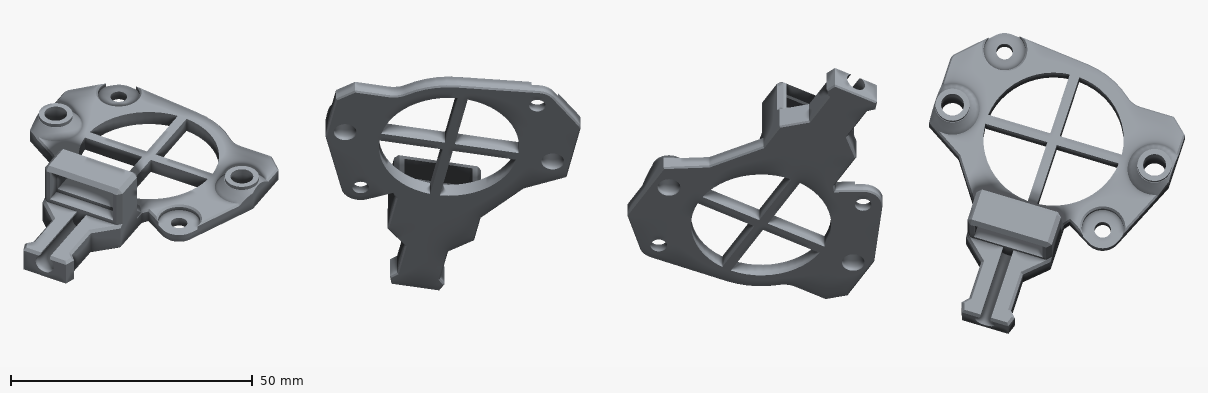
import cadquery as cq
import math

overall_width = 51.3
overall_length = 62.0
half_width = overall_width / 2
bottom_chamfer = 0.3

plate_top = 3.15
plate_chamfer = 0.4
shroud_radius = 17.9
shroud_fillet = 5.0
shoulder_y = 12.2
shoulder_x = 22.25
right_upper_y = 9.05
right_lower_y = -2.2
left_lower_y = -4.3
left_corner_radius = 1.75
left_waist = (-17.6, -9.35)
right_notch = (8.55, -16.0)
notch_end_y = -17.2
waist_end_y = -19.65

fan_radius = 14.5
spoke_width = 2.05

ear_radius = 4.05
upper_ear = (-15.5, 15.55)
lower_ear = (15.5, -15.45)
screw_diameter = 3.4
seat_radius = 4.35
seat_floor = 2.0
seat_chamfer = 0.4

post_x = 21.9
post_bore_diameter = 4.7
rim_diameter = 7.0
rim_bottom = 5.15
rim_top = 5.95
cone_top_radius = 3.6
cone_base_radius = cone_top_radius + rim_bottom - plate_top

housing_center_x = -1.5
housing_width = 18.3
housing_rear = -18.3
housing_front = -26.4
housing_top = 14.65
housing_chamfer = 0.9
window_center_z = 10.25
window_width = 14.25
window_height = 5.35
recess_width = 14.8
recess_height = 7.1
recess_depth = 2.8
ramp_foot_y = -15.55
ramp_edge_chamfer = 1.3

tongue_top = 5.75
tongue_chamfer = 0.55
tongue_half_width = 4.5
barb_half_width = 5.75
tip_half_width = 5.0
flare_end_y = -30.75
barb_start_y = -38.95
barb_peak_y = -40.3
tip_y = upper_ear[1] + ear_radius - overall_length

channel_diameter = 4.2
channel_center_z = 3.6
slot_width = 2.25

housing_left = housing_center_x - housing_width / 2
housing_right = housing_center_x + housing_width / 2


def on_circle(center, radius, angle):
    """Point on a circle at an angle in radians."""
    return (center[0] + radius * math.cos(angle), center[1] + radius * math.sin(angle))


def tangent_angle(point, center, radius, side):
    """Angle on a circle where the line from an outside point touches it; side is +1 or -1."""
    dx, dy = point[0] - center[0], point[1] - center[1]
    return math.atan2(dy, dx) + side * math.acos(radius / math.hypot(dx, dy))


def cylinder(center, radius, bottom, top):
    """Upright cylinder between two heights."""
    return cq.Workplane("XY", origin=(center[0], center[1], bottom)).circle(radius).extrude(top - bottom)


def plate_blank(height):
    """Plate outline raised to a height, without its edge chamfers."""
    flank_angle = math.radians(135)
    corner_turn = math.radians(45)
    ear_distance = math.hypot(*upper_ear)
    ear_direction = math.atan2(upper_ear[1], upper_ear[0])
    brow_angle = ear_direction - math.acos((shroud_radius - ear_radius) / ear_distance)
    flank_touch = on_circle(upper_ear, ear_radius, flank_angle)
    left_upper_y = flank_touch[1] - (flank_touch[0] + half_width)
    corner_trim = left_corner_radius * math.tan(corner_turn / 2)
    corner_center = (-half_width + left_corner_radius, left_upper_y - corner_trim)

    blend_y = shoulder_y + shroud_fillet
    blend_x = math.sqrt((shroud_radius + shroud_fillet) ** 2 - blend_y**2)
    blend_center = (blend_x, blend_y)
    blend_angle = math.atan2(blend_y, blend_x)
    blend_start_angle = blend_angle + math.pi
    blend_end_angle = 1.5 * math.pi
    blend_mid_angle = (blend_start_angle + blend_end_angle) / 2

    right_lower = (half_width, right_lower_y)
    ear_start = tangent_angle(right_lower, lower_ear, ear_radius, -1)
    ear_end = tangent_angle(right_notch, lower_ear, ear_radius, 1)

    outline = (
        cq.Workplane("XY")
        .moveTo(-half_width, left_lower_y)
        .lineTo(-half_width, corner_center[1])
        .threePointArc(
            on_circle(corner_center, left_corner_radius, math.pi - corner_turn / 2),
            on_circle(corner_center, left_corner_radius, flank_angle),
        )
        .lineTo(*flank_touch)
        .threePointArc(
            on_circle(upper_ear, ear_radius, (flank_angle + brow_angle) / 2),
            on_circle(upper_ear, ear_radius, brow_angle),
        )
        .lineTo(*on_circle((0, 0), shroud_radius, brow_angle))
        .threePointArc(
            on_circle((0, 0), shroud_radius, (brow_angle + blend_angle) / 2),
            on_circle((0, 0), shroud_radius, blend_angle),
        )
        .threePointArc(on_circle(blend_center, shroud_fillet, blend_mid_angle), (blend_x, shoulder_y))
        .lineTo(shoulder_x, shoulder_y)
        .lineTo(half_width, right_upper_y)
        .lineTo(*right_lower)
        .lineTo(*on_circle(lower_ear, ear_radius, ear_start))
        .threePointArc(
            on_circle(lower_ear, ear_radius, (ear_start + ear_end) / 2),
            on_circle(lower_ear, ear_radius, ear_end),
        )
        .lineTo(*right_notch)
        .lineTo(housing_right, notch_end_y)
        .lineTo(housing_right, waist_end_y)
        .lineTo(housing_left, waist_end_y)
        .lineTo(*left_waist)
        .close()
    )
    return outline.extrude(height)


def housing_and_tongue():
    """Connector housing with its rear ramp and the tongue in front of it."""
    right_side = [
        (housing_width / 2, housing_front),
        (tongue_half_width, flare_end_y),
        (tongue_half_width, barb_start_y),
        (barb_half_width, barb_peak_y),
        (tip_half_width, tip_y),
    ]
    left_side = [(-x, y) for x, y in reversed(right_side)]
    tongue = (
        cq.Workplane("XY", origin=(housing_center_x, 0, 0))
        .moveTo(housing_width / 2, housing_rear)
        .polyline(right_side + left_side + [(-housing_width / 2, housing_rear)], includeCurrent=True)
        .close()
        .extrude(tongue_top)
    )
    tongue = tongue.edges(">Y and |Z").chamfer(housing_chamfer)
    margin = 0.05
    ahead_of_housing = cq.selectors.BoxSelector(
        (-half_width, tip_y - margin, tongue_top - margin),
        (half_width, housing_front - margin, tongue_top + margin),
    )
    tongue = tongue.edges(ahead_of_housing).chamfer(tongue_chamfer)

    housing = (
        cq.Workplane("XY", origin=(housing_center_x, (housing_rear + housing_front) / 2, tongue_top))
        .rect(housing_width, housing_rear - housing_front)
        .extrude(housing_top - tongue_top)
        .edges("|Z or >Z")
        .chamfer(housing_chamfer)
    )

    ramp_run = ramp_foot_y - housing_rear + housing_chamfer
    ramp = (
        cq.Workplane("YZ", origin=(housing_left, 0, 0))
        .moveTo(ramp_foot_y, plate_top)
        .line(-ramp_run, ramp_run)
        .line(0, -ramp_run)
        .close()
        .extrude(housing_width)
    )
    ramp = ramp.faces(">(0, 1, 1)").edges("not |X").chamfer(ramp_edge_chamfer)
    return tongue.union(housing).union(ramp)


def post(x):
    """Cone trimmed to the plate outline, carrying a flat rim."""
    foot_z = plate_top - plate_chamfer
    cone = (
        cq.Workplane("XZ")
        .moveTo(0, foot_z)
        .lineTo(cone_base_radius + plate_chamfer, foot_z)
        .lineTo(cone_top_radius, rim_bottom)
        .lineTo(0, rim_bottom)
        .close()
        .revolve(360, (0, 0), (0, 1))
        .translate((x, 0, 0))
    )
    cone = cone.intersect(plate_blank(rim_bottom))
    return cone.union(cylinder((x, 0), rim_diameter / 2, rim_bottom, rim_top))


def fan_opening():
    """Round opening divided by two crossing spokes."""
    opening = cylinder((0, 0), fan_radius, 0, plate_top)
    span = 2 * fan_radius
    for size in ((span, spoke_width), (spoke_width, span)):
        opening = opening.cut(cq.Workplane("XY").rect(*size).extrude(plate_top))
    return opening


def screw_seat(center):
    """Screw hole under a wide seat whose rim is bevelled."""
    seat = cylinder(center, seat_radius, seat_floor, plate_top)
    bevel = (
        cq.Workplane("XY", origin=(center[0], center[1], plate_top))
        .circle(seat_radius + seat_chamfer)
        .workplane(offset=-seat_chamfer)
        .circle(seat_radius)
        .loft()
    )
    return cylinder(center, screw_diameter / 2, 0, plate_top).union(seat).union(bevel)


def connector_window():
    """Opening through the housing with a larger recess at the front."""
    front = cq.Workplane("XZ", origin=(housing_center_x, housing_front, window_center_z))
    window = front.rect(window_width, window_height).extrude(housing_front - housing_rear)
    recess = front.rect(recess_width, recess_height).extrude(-recess_depth)
    return window.union(recess)


def cable_channel():
    """Round channel with a slot to the top, ending at the housing front."""
    end = cq.Workplane("XZ", origin=(housing_center_x, housing_front, channel_center_z))
    length = housing_front - tip_y
    slot_height = tongue_top - channel_center_z
    slot = end.center(0, slot_height / 2).rect(slot_width, slot_height).extrude(length)
    return end.circle(channel_diameter / 2).extrude(length).union(slot)


body = plate_blank(plate_top).faces(">Z").edges().chamfer(plate_chamfer)
body = body.union(housing_and_tongue())
body = body.faces("<Z").edges().chamfer(bottom_chamfer)

for x in (-post_x, post_x):
    body = body.union(post(x))
    body = body.cut(cylinder((x, 0), post_bore_diameter / 2, 0, rim_top))

for center in (upper_ear, lower_ear):
    body = body.cut(screw_seat(center))

result = body.cut(fan_opening()).cut(connector_window()).cut(cable_channel())